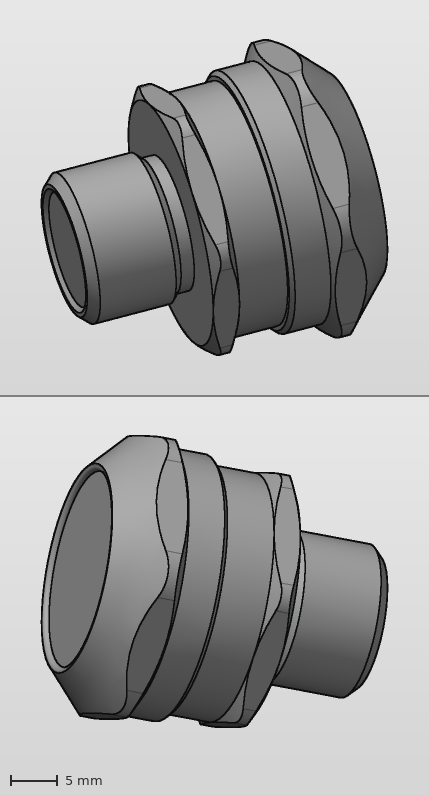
import cadquery as cq
import math

LENGTH = 32.45

THREAD_RADIUS = 8.35
TIP_CHAMFER_RADIUS = 7.3
TIP_CHAMFER_LENGTH = 1.1
NECK_RADIUS = 7.48
THREAD_END_Y = 9.65
NECK_START_Y = THREAD_END_Y + THREAD_RADIUS - NECK_RADIUS

TIP_RECESS_RADIUS = 6.8
TIP_RECESS_DEPTH = 0.5

SMALL_FLATS = 27.0
BARREL_RADIUS = SMALL_FLATS / 2
SMALL_HEX_FRONT_Y = 12.0
SMALL_HEX_BACK_Y = 15.0
SMALL_HALF_HEIGHT = 15.12

COLLAR_RADIUS = 14.5
COLLAR_FRONT_Y = 20.4
COLLAR_CHAMFER = 0.5
LARGE_HEX_FRONT_Y = 24.95

LARGE_FLATS = 30.0
LARGE_HALF_HEIGHT = 16.55
BACK_FACE_RADIUS = 11.35

BACK_RECESS_RADIUS = 10.62
BACK_RECESS_DEPTH = 0.6

HEX_CHAMFER_ANGLE = math.radians(30)
HEX_CORNER_RATIO = 1 / math.cos(math.radians(30))


def revolve_profile(points):
    """Turn an outline of (radius, y) points about the Y axis."""
    return cq.Workplane("XY").polyline(points).close().revolve(360, (0, 0), (0, 1))


def hex_prism(across_flats, half_height, y_start, y_end):
    """Round-cornered hexagonal bar along Y with corners at +Z and -Z."""
    corner_diameter = across_flats * HEX_CORNER_RATIO
    corner_round = (corner_diameter / 2 - half_height) / (HEX_CORNER_RATIO - 1)
    return (
        cq.Workplane("XZ", origin=(0, y_start, 0))
        .transformed(rotate=(0, 0, 90))
        .polygon(6, corner_diameter)
        .extrude(y_start - y_end)
        .edges("|Y")
        .fillet(corner_round)
    )


def chamfer_run(inner_radius, outer_radius):
    """Axial length of a hexagon chamfer between two radii."""
    return (outer_radius - inner_radius) * math.tan(HEX_CHAMFER_ANGLE)


def small_hexagon():
    run = chamfer_run(BARREL_RADIUS, SMALL_HALF_HEIGHT)
    envelope = revolve_profile([
        (0, SMALL_HEX_FRONT_Y),
        (BARREL_RADIUS, SMALL_HEX_FRONT_Y),
        (SMALL_HALF_HEIGHT, SMALL_HEX_FRONT_Y + run),
        (SMALL_HALF_HEIGHT, SMALL_HEX_BACK_Y - run),
        (BARREL_RADIUS, SMALL_HEX_BACK_Y),
        (0, SMALL_HEX_BACK_Y),
    ])
    prism = hex_prism(SMALL_FLATS, SMALL_HALF_HEIGHT, SMALL_HEX_FRONT_Y, SMALL_HEX_BACK_Y)
    return prism.intersect(envelope)


def large_hexagon():
    front_run = chamfer_run(COLLAR_RADIUS, LARGE_HALF_HEIGHT)
    cone_start_y = LENGTH - (LARGE_HALF_HEIGHT - BACK_FACE_RADIUS)
    envelope = revolve_profile([
        (0, LARGE_HEX_FRONT_Y),
        (COLLAR_RADIUS, LARGE_HEX_FRONT_Y),
        (LARGE_HALF_HEIGHT, LARGE_HEX_FRONT_Y + front_run),
        (LARGE_HALF_HEIGHT, cone_start_y),
        (BACK_FACE_RADIUS, LENGTH),
        (0, LENGTH),
    ])
    prism = hex_prism(LARGE_FLATS, LARGE_HALF_HEIGHT, LARGE_HEX_FRONT_Y, LENGTH)
    return prism.intersect(envelope)


def turned_body():
    """Tip, neck, barrel and collar, up to the front of the large hexagon."""
    return revolve_profile([
        (0, TIP_RECESS_DEPTH),
        (TIP_RECESS_RADIUS - TIP_RECESS_DEPTH, TIP_RECESS_DEPTH),
        (TIP_RECESS_RADIUS, 0),
        (TIP_CHAMFER_RADIUS, 0),
        (THREAD_RADIUS, TIP_CHAMFER_LENGTH),
        (THREAD_RADIUS, THREAD_END_Y),
        (NECK_RADIUS, NECK_START_Y),
        (NECK_RADIUS, SMALL_HEX_FRONT_Y),
        (BARREL_RADIUS, SMALL_HEX_FRONT_Y),
        (BARREL_RADIUS, COLLAR_FRONT_Y),
        (COLLAR_RADIUS - COLLAR_CHAMFER, COLLAR_FRONT_Y),
        (COLLAR_RADIUS, COLLAR_FRONT_Y + COLLAR_CHAMFER),
        (COLLAR_RADIUS, LARGE_HEX_FRONT_Y),
        (0, LARGE_HEX_FRONT_Y),
    ])


def back_recess():
    """Recess cutter whose wall flares out in an arc to meet the back face."""
    mouth_radius = BACK_RECESS_RADIUS + BACK_RECESS_DEPTH
    floor_y = LENGTH - BACK_RECESS_DEPTH
    arc_offset = BACK_RECESS_DEPTH * math.cos(math.radians(45))
    return (
        cq.Workplane("XY")
        .moveTo(0, floor_y)
        .lineTo(BACK_RECESS_RADIUS, floor_y)
        .threePointArc((mouth_radius - arc_offset, floor_y + arc_offset), (mouth_radius, LENGTH))
        .lineTo(0, LENGTH)
        .close()
        .revolve(360, (0, 0), (0, 1))
    )


result = turned_body().union(small_hexagon()).union(large_hexagon()).cut(back_recess())